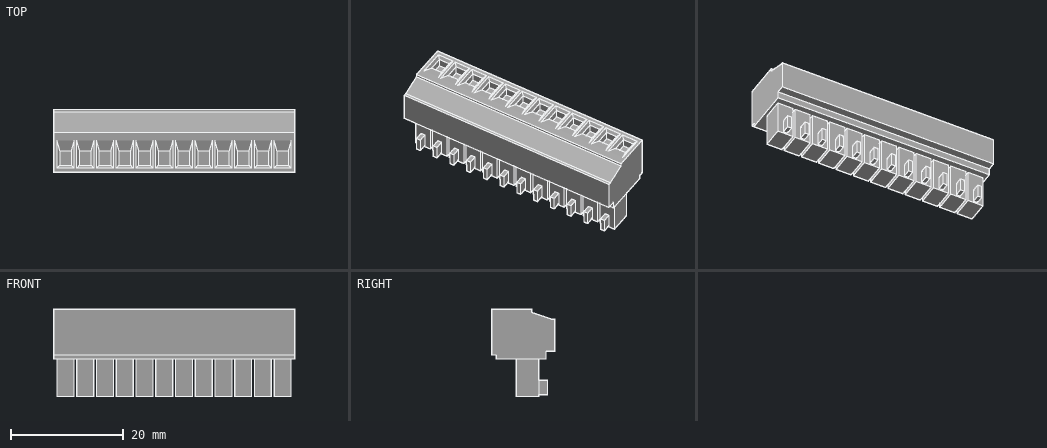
import cadquery as cq

pole_count = 12
pole_pitch = 3.5
pole_row_offset = -0.03
body_length = 42.8
body_depth = 11.18
total_height = 15.49

body_drop = 8.86
front_step_depth = 0.77
front_step_drop = 8.12
rear_step_depth = 1.55
rear_step_drop = 7.47
ridge_y = 7.11
ridge_step_drop = 0.55
rear_ledge_depth = 0.5
rear_ledge_drop = 1.76

finger_width = 3.05
finger_front_y = 4.32
finger_rear_y = 8.38

tab_width = 0.8
tab_length = 1.55
tab_height = 2.6
tab_bottom_z = 0.3

mouth_width = 3.05
mouth_front_y = 0.76
mouth_rear_y = 5.62
mouth_depth = 0.5
shaft_width = 2.05
shaft_front_y = 1.26
shaft_rear_y = 3.83
pocket_depth = 2.05

body_bottom_z = total_height - body_drop
first_pole_x = pole_row_offset - pole_pitch * (pole_count - 1) / 2
pole_positions = [first_pole_x + pole_pitch * i for i in range(pole_count)]


def box_between(center_x, width, y_min, y_max, z_min, z_max):
    """Box centred on center_x along X, spanning the given Y and Z ranges."""
    return (
        cq.Workplane("XY")
        .box(width, y_max - y_min, z_max - z_min, centered=(True, False, False))
        .translate((center_x, y_min, z_min))
    )


def make_housing():
    """Extrude the stepped housing cross-section along X."""
    front_step_z = total_height - front_step_drop
    rear_step_z = total_height - rear_step_drop
    ledge_z = total_height - rear_ledge_drop
    outline = [
        (0, total_height),
        (0, front_step_z),
        (front_step_depth, front_step_z),
        (front_step_depth, body_bottom_z),
        (body_depth - rear_step_depth, body_bottom_z),
        (body_depth - rear_step_depth, rear_step_z),
        (body_depth, rear_step_z),
        (body_depth, ledge_z),
        (body_depth - rear_ledge_depth, ledge_z),
        (ridge_y, total_height - ridge_step_drop),
        (ridge_y, total_height),
    ]
    return cq.Workplane("YZ").polyline(outline).close().extrude(body_length / 2, both=True)


def make_finger(x):
    """Plug finger with its narrow latch tab on the rear face."""
    finger = box_between(x, finger_width, finger_front_y, finger_rear_y, 0, body_bottom_z)
    tab = box_between(
        x, tab_width, finger_rear_y, finger_rear_y + tab_length, tab_bottom_z, tab_bottom_z + tab_height
    )
    return finger.union(tab)


def make_pocket(x):
    """Cutter for one screw pocket: lofted mouth plus straight blind shaft."""
    mouth_center_y = (mouth_front_y + mouth_rear_y) / 2
    shaft_center_y = (shaft_front_y + shaft_rear_y) / 2
    mouth = (
        cq.Workplane("XY", origin=(x, mouth_center_y, total_height))
        .rect(mouth_width, mouth_rear_y - mouth_front_y)
        .workplane(offset=-mouth_depth)
        .center(0, shaft_center_y - mouth_center_y)
        .rect(shaft_width, shaft_rear_y - shaft_front_y)
        .loft(ruled=True)
    )
    shaft = box_between(
        x, shaft_width, shaft_front_y, shaft_rear_y, total_height - pocket_depth, total_height - mouth_depth
    )
    return mouth.union(shaft)


result = make_housing()
for pole_x in pole_positions:
    result = result.union(make_finger(pole_x)).cut(make_pocket(pole_x))